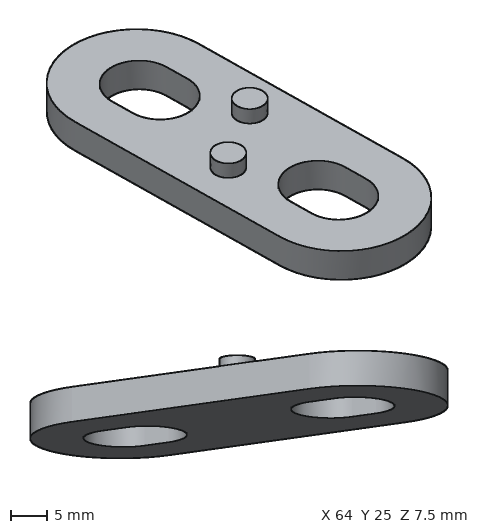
import cadquery as cq

length = 64.0
width = 25.0
plate_thickness = 5.0

slot_length = 15.0
slot_width = 11.0
slot_offset = 17.0

overall_height = 7.5
pin_diameter = 5.0
pin_x = 3.25
pin_y = 5.6


def make_plate():
    """Rounded bar with its underside on Z = 0."""
    return cq.Workplane("XY").slot2D(length, width).extrude(plate_thickness)


def make_slots():
    """Cutters for the through slots."""
    return (
        cq.Workplane("XY")
        .pushPoints([(-slot_offset, 0), (slot_offset, 0)])
        .slot2D(slot_length, slot_width)
        .extrude(plate_thickness)
    )


def make_pins():
    """Pins running up through the plate and standing proud of its top face."""
    return (
        cq.Workplane("XY")
        .pushPoints([(-pin_x, pin_y), (pin_x, -pin_y)])
        .circle(pin_diameter / 2)
        .extrude(overall_height)
    )


result = make_plate().cut(make_slots()).union(make_pins())